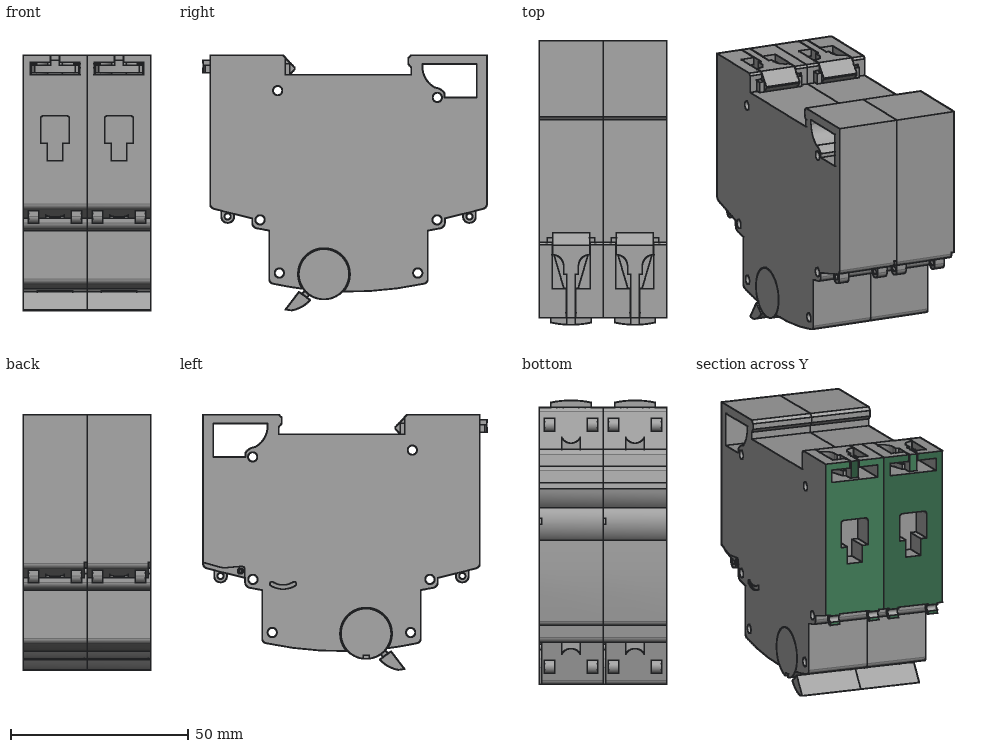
import cadquery as cq
import math


POLES = 2
POLE_WIDTH = 18.0
LENGTH = 80.1
HEIGHT = 72.0
DEPTH = 78.05
MID_Y = DEPTH / 2
TOP_Z = 5.5

RAIL_FRONT_Y = 21.2
RAIL_EDGE_CHAMFER = 0.65
RAIL_BACK_Y = 56.7
LIP_OVERHANG = 0.9
LIP_TOP_Z = TOP_Z - 0.9
LIP_LOW_Z = 3.05
LIP_ROOT_Z = 2.0
SHOULDER_Z = -37.55
SHOULDER_END_Z = -40.5
SHOULDER_RADIUS = 1.45
EAR_Y = 11.85
EAR_LOW_Z = -43.1
EAR_RADIUS = 1.7
NECK_Y = 16.65
NECK_TOP_Z = -43.95
NECK_LOW_Z = -58.7
NECK_RADIUS = 1.45
BOTTOM_Z = -61.2

RIVET_DIAMETER = 2.6
EAR_HOLE_Y = 14.1
EAR_HOLE_Z = -40.9
NECK_HOLE_Y = 19.5
NECK_HOLE_Z = -55.9
FRONT_HOLE_Y = 19.05
FRONT_HOLE_Z = -4.5
BACK_HOLE_Y = 64.05
BACK_HOLE_Z = -6.4

WINDOW_BACK_Y = 75.1
WINDOW_FRONT_Y = 59.9
WINDOW_TOP_Z = 3.0
WINDOW_ARC_TOP_Z = 1.8
WINDOW_ARC_MID = (61.0, -1.45)
WINDOW_NECK = (63.4, -3.6)
WINDOW_RIM_MID = (65.0, -4.2)
WINDOW_RIM_END = (66.1, -5.3)

LUG_Y = 5.0
LUG_Z = -39.95
LUG_RADIUS = 1.85
LUG_HOLE_DIAMETER = 1.7
LUG_WIDTH = 3.0
LUG_SPACING = 12.0
LUG_ROOT_Z = -37.6

SCREW_Y = 7.1
SCREW_RADIUS = 3.0
NOTCH_WIDTH = 5.3
NOTCH_HEIGHT = 1.05
NOTCH_RUN = 1.0

TERMINAL_TOP_Z = -11.6
TERMINAL_STEP_Z = -19.4
TERMINAL_LOW_Z = -24.25
TERMINAL_WIDTH = 8.1
TERMINAL_LOW_WIDTH = 4.5
TERMINAL_RADIUS = 0.7
TERMINAL_DEPTH = 12.0

SIDE_DEPTH = 0.4
SMILE_HALF_SPAN = 3.1
SMILE_SAG = 0.9
SMILE_WIDTH = 1.2
SMILE_Y = 55.5
SMILE_Z = -42.2
LATCH_DEPTH = 0.8
LATCH_FRONT_Y = DEPTH - EAR_Y
LATCH_BACK_Z = -36.1
LATCH_DIP_START = (73.25, -37.5)
LATCH_DIP = (72.05, -37.6)
LATCH_DIP_END = (70.85, -37.55)
LATCH_TOP_Z = -37.2
LATCH_RADIUS = 1.0
LATCH_PIN = (67.5, -38.6)
LATCH_PIN_DIAMETER = 1.6
LATCH_PIN_BORE = 0.9

CLIP_GAP = 0.2
CLIP_HALF = 5.2
CLIP_BLOCK_Y = 17.8
CLIP_EDGE_Y = 20.5
CLIP_TIP_Y = 23.9
CLIP_TIP_Z = 1.9
CLIP_TIP_HEIGHT = 0.3
CLIP_HEEL_Y = 22.5
FLARE_Y = 14.6
NECK_HALF = 2.1
NECK_STEP_Y = 12.3
STEM_HALF = 1.2
WING_HALF = 6.65
WING_HEIGHT = 3.05
WEDGE_TOP_Z = 1.9
WEDGE_TIP_Y = 8.25
WEDGE_TIP_HALF = 2.0
WEDGE_BACK_HALF = 4.8
HEAD_LOW_Z = 0.5
HEAD_HIGH_Z = 2.7
HEAD_HALF = 5.8
HEAD_BACK_HALF = 6.7
HEAD_BACK_Y = 1.45
HEAD_FLANK_Y = 0.2
HEAD_END_Y = -1.4
HEAD_FRONT_Y = DEPTH - LENGTH
STUB_TOP_Z = 4.1
POCKET_FRONT_Y = 8.2
CHANNEL_HALF = 7.0
CHANNEL_HEIGHT = 3.45

DIAL_Y = 32.1
DIAL_Z = -56.2
DIAL_RADIUS = 7.1
DIAL_GAP = 0.2
DIAL_NOTCH_WIDTH = 1.7
DIAL_NOTCH_HEIGHT = 1.05
DIAL_NOTCH_DEPTH = 0.8
BLADE_FRONT = (25.05, -61.2)
BLADE_TIP = (21.2, -66.2)
BLADE_LOW = (23.0, TOP_Z - HEIGHT)
BLADE_BELLY = (26.0, -65.3)
BLADE_BACK = (28.3, -63.5)
ARM_WIDTH = 9.9
ARM_THICKNESS = 1.8
ARM_REACH = 4.0


def pole_center(index):
    return (index - (POLES - 1) / 2) * POLE_WIDTH


def side_sketch(x=0.0):
    """Plane across the pole at a given X: local axes are Y and Z, extrusion goes to +X."""
    return cq.Workplane("YZ", origin=(x, 0, 0))


def box(half_width, y_front, y_back, z_low, z_high):
    """Box centred on X = 0, given by its limits in Y and Z."""
    return cq.Workplane("XY").box(
        2 * half_width, y_back - y_front, z_high - z_low, centered=(True, False, False)
    ).translate((0, y_front, z_low))


def both_ends(body):
    """The body and its mirror image about the middle of the depth."""
    mirrored = body.mirror("XZ").translate((0, DEPTH, 0))
    return body.union(mirrored)


LEFT = -POLE_WIDTH / 2


def housing_block():
    lower_front = [
        (NECK_Y, NECK_TOP_Z),
        (EAR_Y, EAR_LOW_Z),
        (EAR_Y, SHOULDER_END_Z),
        (0, SHOULDER_Z),
    ]
    lower_back = [(DEPTH - y, z) for y, z in reversed(lower_front)]
    top = [
        (0, TOP_Z),
        (RAIL_FRONT_Y - RAIL_EDGE_CHAMFER, TOP_Z),
        (RAIL_FRONT_Y, TOP_Z - RAIL_EDGE_CHAMFER),
        (RAIL_FRONT_Y, 0),
        (RAIL_BACK_Y, 0),
        (RAIL_BACK_Y, LIP_ROOT_Z),
        (RAIL_BACK_Y - LIP_OVERHANG, LIP_LOW_Z),
        (RAIL_BACK_Y - LIP_OVERHANG, LIP_TOP_Z),
        (RAIL_BACK_Y, TOP_Z),
        (DEPTH, TOP_Z),
    ]
    outline = side_sketch(LEFT).moveTo(NECK_Y, NECK_LOW_Z)
    for point in lower_front + top + lower_back:
        outline = outline.lineTo(*point)
    block = (
        outline.lineTo(DEPTH - NECK_Y, NECK_LOW_Z)
        .threePointArc((MID_Y, BOTTOM_Z), (NECK_Y, NECK_LOW_Z))
        .close()
        .extrude(POLE_WIDTH)
    )
    rounded_corners = [
        (0, SHOULDER_Z, SHOULDER_RADIUS),
        (EAR_Y, EAR_LOW_Z, EAR_RADIUS),
        (NECK_Y, NECK_LOW_Z, NECK_RADIUS),
    ]
    for y, z, radius in rounded_corners:
        for corner_y in (y, DEPTH - y):
            corner = cq.selectors.NearestToPointSelector((0, corner_y, z))
            block = block.edges("|X").edges(corner).fillet(radius)
    return block


def lugs():
    """Two eyelets under the front shoulder and two under the back shoulder."""
    eyelet = (
        side_sketch(-LUG_WIDTH / 2)
        .moveTo(LUG_Y - LUG_RADIUS, LUG_ROOT_Z)
        .lineTo(LUG_Y - LUG_RADIUS, LUG_Z)
        .threePointArc((LUG_Y, LUG_Z - LUG_RADIUS), (LUG_Y + LUG_RADIUS, LUG_Z))
        .lineTo(LUG_Y + LUG_RADIUS, LUG_ROOT_Z)
        .close()
        .extrude(LUG_WIDTH)
        .cut(
            side_sketch(-LUG_WIDTH / 2)
            .center(LUG_Y, LUG_Z)
            .circle(LUG_HOLE_DIAMETER / 2)
            .extrude(LUG_WIDTH)
        )
    )
    pair = eyelet.translate((-LUG_SPACING / 2, 0, 0)).union(eyelet.translate((LUG_SPACING / 2, 0, 0)))
    return both_ends(pair)


def rivet_holes():
    places = [(FRONT_HOLE_Y, FRONT_HOLE_Z), (BACK_HOLE_Y, BACK_HOLE_Z)]
    for y, z in [(EAR_HOLE_Y, EAR_HOLE_Z), (NECK_HOLE_Y, NECK_HOLE_Z)]:
        places += [(y, z), (DEPTH - y, z)]
    return side_sketch(LEFT).pushPoints(places).circle(RIVET_DIAMETER / 2).extrude(POLE_WIDTH)


def window():
    """Opening through the width, rounded off around the rivet hole below it."""
    return (
        side_sketch(LEFT)
        .moveTo(WINDOW_BACK_Y, BACK_HOLE_Z)
        .lineTo(WINDOW_BACK_Y, WINDOW_TOP_Z)
        .lineTo(WINDOW_FRONT_Y, WINDOW_TOP_Z)
        .lineTo(WINDOW_FRONT_Y, WINDOW_ARC_TOP_Z)
        .threePointArc(WINDOW_ARC_MID, WINDOW_NECK)
        .threePointArc(WINDOW_RIM_MID, WINDOW_RIM_END)
        .lineTo(WINDOW_RIM_END[0], BACK_HOLE_Z)
        .close()
        .extrude(POLE_WIDTH)
    )


def screw_notches():
    """Notch where each shoulder meets its ear, curved around the terminal screw."""
    notch = (
        side_sketch(-NOTCH_WIDTH / 2)
        .moveTo(SCREW_Y, SHOULDER_END_Z)
        .lineTo(EAR_Y, SHOULDER_END_Z)
        .lineTo(EAR_Y + NOTCH_RUN, SHOULDER_END_Z + NOTCH_HEIGHT)
        .lineTo(SCREW_Y, SHOULDER_END_Z + NOTCH_HEIGHT)
        .close()
        .extrude(NOTCH_WIDTH)
    )
    screw_seat = (
        cq.Workplane("XY", origin=(0, SCREW_Y, SHOULDER_END_Z))
        .circle(SCREW_RADIUS)
        .extrude(NOTCH_HEIGHT)
    )
    return both_ends(notch.cut(screw_seat))


def terminal_opening():
    """Keyhole-shaped pocket in the front face."""
    upper = box(TERMINAL_WIDTH / 2, 0, TERMINAL_DEPTH, TERMINAL_STEP_Z, TERMINAL_TOP_Z)
    upper = upper.edges("|Y and >Z").fillet(TERMINAL_RADIUS)
    lower = box(TERMINAL_LOW_WIDTH / 2, 0, TERMINAL_DEPTH, TERMINAL_LOW_Z, TERMINAL_STEP_Z)
    return upper.union(lower)


def clip_guide():
    """Pocket and slot open at the top, over a wide low channel from the front to the rail."""
    pocket = box(CLIP_HALF + CLIP_GAP, POCKET_FRONT_Y, RAIL_FRONT_Y, 0, TOP_Z)
    slot = box(STEM_HALF + CLIP_GAP, 0, POCKET_FRONT_Y, 0, TOP_Z)
    channel = box(CHANNEL_HALF, 0, RAIL_FRONT_Y, 0, CHANNEL_HEIGHT)
    return pocket.union(slot).union(channel)


def smile_groove():
    """Shallow curved groove of constant width with round ends."""
    radius = (SMILE_HALF_SPAN**2 + SMILE_SAG**2) / (2 * SMILE_SAG)
    center_z = SMILE_Z - SMILE_SAG + radius
    end_angle = math.asin(SMILE_HALF_SPAN / radius)

    def at(distance, angle):
        return (SMILE_Y + distance * math.sin(angle), center_z - distance * math.cos(angle))

    outer = radius + SMILE_WIDTH / 2
    inner = radius - SMILE_WIDTH / 2
    cap_angle = end_angle + SMILE_WIDTH / 2 / radius
    return (
        side_sketch(LEFT)
        .moveTo(*at(outer, -end_angle))
        .threePointArc(at(outer, 0), at(outer, end_angle))
        .threePointArc(at(radius, cap_angle), at(inner, end_angle))
        .threePointArc(at(inner, 0), at(inner, -end_angle))
        .threePointArc(at(radius, -cap_angle), at(outer, -end_angle))
        .close()
        .extrude(SIDE_DEPTH)
    )


def latch_recess():
    """Recess in the left side along the back shoulder, leaving a small bored pin standing."""
    recess = (
        side_sketch(LEFT)
        .moveTo(DEPTH, LATCH_BACK_Z)
        .lineTo(*LATCH_DIP_START)
        .threePointArc(LATCH_DIP, LATCH_DIP_END)
        .lineTo(LATCH_FRONT_Y + LATCH_RADIUS, LATCH_TOP_Z)
        .radiusArc((LATCH_FRONT_Y, LATCH_TOP_Z - LATCH_RADIUS), -LATCH_RADIUS)
        .lineTo(LATCH_FRONT_Y, SHOULDER_END_Z)
        .lineTo(DEPTH, SHOULDER_END_Z)
        .close()
        .extrude(LATCH_DEPTH)
    )
    pin = (
        side_sketch(LEFT)
        .center(*LATCH_PIN)
        .circle(LATCH_PIN_DIAMETER / 2)
        .circle(LATCH_PIN_BORE / 2)
        .extrude(LATCH_DEPTH)
    )
    return recess.cut(pin)


def dial_bore():
    return side_sketch(LEFT).center(DIAL_Y, DIAL_Z).circle(DIAL_RADIUS + DIAL_GAP).extrude(POLE_WIDTH)


def make_housing(x):
    housing = housing_block().cut(latch_recess()).cut(screw_notches()).union(lugs())
    for cutter in (rivet_holes(), window(), terminal_opening(), clip_guide(), smile_groove(), dial_bore()):
        housing = housing.cut(cutter)
    return housing.translate((x, 0, 0))


def clip_block():
    """Upper block with the snap-in nose, one outline extruded across the width."""
    return (
        side_sketch(-CLIP_HALF)
        .moveTo(CLIP_BLOCK_Y, 0)
        .lineTo(CLIP_BLOCK_Y, TOP_Z)
        .lineTo(CLIP_EDGE_Y, TOP_Z)
        .lineTo(CLIP_TIP_Y, CLIP_TIP_Z)
        .lineTo(CLIP_TIP_Y, CLIP_TIP_Z - CLIP_TIP_HEIGHT)
        .lineTo(CLIP_HEEL_Y, 0)
        .close()
        .extrude(2 * CLIP_HALF)
    )


def clip_flare():
    """Concave quarter rounds that narrow the block down to the stem."""
    corner_half = NECK_HALF + CLIP_BLOCK_Y - FLARE_Y
    bend = (CLIP_BLOCK_Y - FLARE_Y) * (1 - math.sqrt(0.5))
    return (
        cq.Workplane("XY")
        .moveTo(-corner_half, CLIP_BLOCK_Y)
        .threePointArc((-NECK_HALF - bend, CLIP_BLOCK_Y - bend), (-NECK_HALF, FLARE_Y))
        .lineTo(-NECK_HALF, NECK_STEP_Y)
        .lineTo(NECK_HALF, NECK_STEP_Y)
        .lineTo(NECK_HALF, FLARE_Y)
        .threePointArc((NECK_HALF + bend, CLIP_BLOCK_Y - bend), (corner_half, CLIP_BLOCK_Y))
        .close()
        .extrude(TOP_Z)
    )


def clip_wedge():
    """Low plate that widens from the stem to the block."""
    return (
        cq.Workplane("XY", origin=(0, 0, HEAD_LOW_Z))
        .moveTo(-WEDGE_TIP_HALF, WEDGE_TIP_Y)
        .lineTo(-WEDGE_BACK_HALF, CLIP_BLOCK_Y)
        .lineTo(WEDGE_BACK_HALF, CLIP_BLOCK_Y)
        .lineTo(WEDGE_TIP_HALF, WEDGE_TIP_Y)
        .close()
        .extrude(WEDGE_TOP_Z - HEAD_LOW_Z)
    )


def head_prism(height):
    """Upright prism on the outline of the finger plate: bowed front, ends flaring at the back."""
    return (
        cq.Workplane("XY", origin=(0, 0, HEAD_LOW_Z))
        .moveTo(-HEAD_BACK_HALF, HEAD_BACK_Y)
        .lineTo(-HEAD_HALF, HEAD_FLANK_Y)
        .lineTo(-HEAD_HALF, HEAD_END_Y)
        .threePointArc((0, HEAD_FRONT_Y), (HEAD_HALF, HEAD_END_Y))
        .lineTo(HEAD_HALF, HEAD_FLANK_Y)
        .lineTo(HEAD_BACK_HALF, HEAD_BACK_Y)
        .close()
        .extrude(height)
    )


def clip_head():
    """Finger plate, with a stub of the stem rising to its bowed front."""
    plate = head_prism(HEAD_HIGH_Z - HEAD_LOW_Z)
    stub = head_prism(STUB_TOP_Z - HEAD_LOW_Z).intersect(
        box(STEM_HALF, HEAD_FRONT_Y, HEAD_BACK_Y, HEAD_LOW_Z, STUB_TOP_Z)
    )
    return plate.union(stub)


def clip_stem():
    return box(STEM_HALF, 0, NECK_STEP_Y, HEAD_LOW_Z, TOP_Z)


def make_clip(x):
    wings = box(WING_HALF, CLIP_BLOCK_Y, CLIP_HEEL_Y, 0, WING_HEIGHT)
    clip = clip_block().union(wings).union(clip_flare()).union(clip_wedge())
    clip = clip.union(clip_stem()).union(clip_head())
    return clip.translate((x, 0, 0))


def lever_dial():
    dial = side_sketch(LEFT).center(DIAL_Y, DIAL_Z).circle(DIAL_RADIUS).extrude(POLE_WIDTH)
    notch = (
        side_sketch(LEFT)
        .center(DIAL_Y, DIAL_Z - DIAL_RADIUS)
        .rect(DIAL_NOTCH_WIDTH, 2 * DIAL_NOTCH_HEIGHT)
        .extrude(DIAL_NOTCH_DEPTH)
    )
    return dial.cut(notch)


def lever_blade():
    return (
        side_sketch(LEFT)
        .moveTo(*BLADE_FRONT)
        .lineTo(*BLADE_TIP)
        .lineTo(*BLADE_LOW)
        .threePointArc(BLADE_BELLY, BLADE_BACK)
        .close()
        .extrude(POLE_WIDTH)
    )


def lever_arm():
    """Flat arm square to the upper face of the blade, running into the dial."""
    middle_y = (BLADE_FRONT[0] + BLADE_BACK[0]) / 2
    middle_z = (BLADE_FRONT[1] + BLADE_BACK[1]) / 2
    tilt = math.degrees(math.atan2(BLADE_FRONT[1] - BLADE_BACK[1], BLADE_BACK[0] - BLADE_FRONT[0]))
    arm = box(ARM_WIDTH / 2, -ARM_THICKNESS / 2, ARM_THICKNESS / 2, 0, ARM_REACH)
    return arm.rotate((0, 0, 0), (1, 0, 0), -tilt).translate((0, middle_y, middle_z))


def make_lever(x):
    return lever_dial().union(lever_blade()).union(lever_arm()).translate((x, 0, 0))


housings = []
clips = []
levers = []
for pole in range(POLES):
    center = pole_center(pole)
    housings.append(make_housing(center).val())
    clips.append(make_clip(center).val())
    levers.append(make_lever(center).val())

result = cq.Compound.makeCompound([*housings, *clips, *levers])